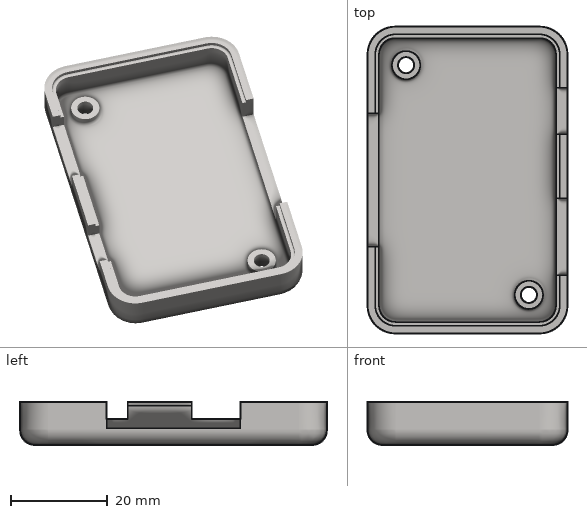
import cadquery as cq

LENGTH_X = 41.4
LENGTH_Y = 63.5
HEIGHT = 8.92
CORNER_RADIUS = 5.84
BOTTOM_ROUND = 3.175

WALL = 2.39
FLOOR = WALL
FLOOR_FILLET = 0.635

RIM_WALL = 1.62
RIM_DEPTH = 0.762

BOSS_DIAMETER = 5.84
BOSS_HEIGHT = 1.7
BOSS_FILLET = 0.635
HOLE_DIAMETER = 3.28
BOSS_X = 12.7
BOSS_Y = 23.75
BOSS_CENTERS = [(-BOSS_X, BOSS_Y), (BOSS_X, -BOSS_Y)]

LEFT_NOTCHES = [(-13.84, 13.84)]
LEFT_NOTCH_LEVEL = 3.51
RIGHT_NOTCHES = [(-19.65, -3.8), (9.5, 19.1)]
RIGHT_NOTCH_LEVEL = 5.42


def rounded_block(inset, bottom, top):
    """Block with rounded vertical corners, set in from the outer wall faces."""
    return (
        cq.Workplane("XY")
        .workplane(offset=bottom)
        .rect(LENGTH_X - 2 * inset, LENGTH_Y - 2 * inset)
        .extrude(top - bottom)
        .edges("|Z")
        .fillet(CORNER_RADIUS - inset)
    )


def make_tray():
    """Open tray with a rounded underside, a filleted floor and a stepped rim."""
    shell = rounded_block(0, 0, HEIGHT).faces("<Z").edges().fillet(BOTTOM_ROUND)
    cavity = rounded_block(WALL, FLOOR, HEIGHT).faces("<Z").edges().fillet(FLOOR_FILLET)
    rim_step = rounded_block(RIM_WALL, HEIGHT - RIM_DEPTH, HEIGHT)
    return shell.cut(cavity).cut(rim_step)


def make_boss():
    """Boss centred on the Z axis, flared into the floor by a concave fillet."""
    radius = BOSS_DIAMETER / 2
    flare_radius = radius + BOSS_FILLET
    fillet_top = FLOOR + BOSS_FILLET
    boss_top = FLOOR + BOSS_HEIGHT
    root = FLOOR / 2
    return (
        cq.Workplane("XZ")
        .moveTo(0, root)
        .lineTo(flare_radius, root)
        .lineTo(flare_radius, FLOOR)
        .radiusArc((radius, fillet_top), BOSS_FILLET)
        .lineTo(radius, boss_top)
        .lineTo(0, boss_top)
        .close()
        .revolve(360, (0, 0, 0), (0, 1, 0))
    )


def add_bosses(body):
    """Add the screw bosses and drill them through the floor."""
    boss = make_boss()
    for x, y in BOSS_CENTERS:
        body = body.union(boss.translate((x, y, 0)))
    holes = cq.Workplane("XY").pushPoints(BOSS_CENTERS).circle(HOLE_DIAMETER / 2).extrude(HEIGHT)
    return body.cut(holes)


def cut_notches(body, notches, level, side):
    """Cut notches down through one long wall; side is -1 for -X and +1 for +X."""
    wall_center_x = side * (LENGTH_X - WALL) / 2
    notch_height = HEIGHT - level
    for start, end in notches:
        notch = (
            cq.Workplane("XY")
            .box(WALL, end - start, notch_height, centered=(True, False, False))
            .translate((wall_center_x, start, level))
        )
        body = body.cut(notch)
    return body


result = add_bosses(make_tray())
result = cut_notches(result, LEFT_NOTCHES, LEFT_NOTCH_LEVEL, -1)
result = cut_notches(result, RIGHT_NOTCHES, RIGHT_NOTCH_LEVEL, 1)